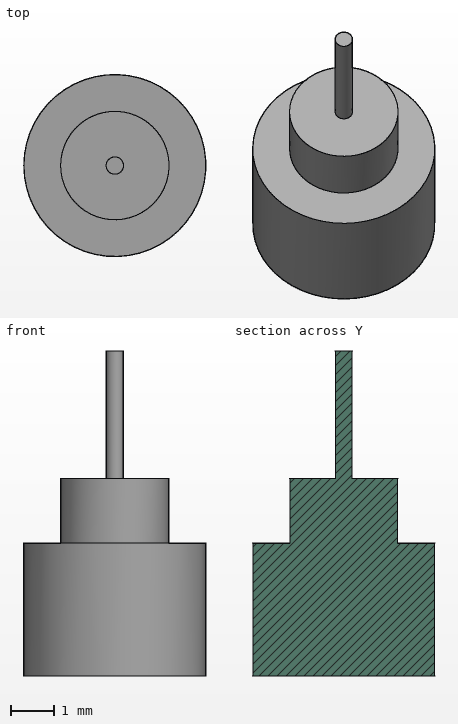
import cadquery as cq

body_diameter = 4.2
neck_diameter = 2.5
insulator_diameter = 1.95
pin_diameter = 0.4
body_height = 3.07
neck_height = 1.49
total_height = 7.5

body_radius = body_diameter / 2
neck_radius = neck_diameter / 2
insulator_radius = insulator_diameter / 2
pin_radius = pin_diameter / 2
neck_top = body_height + neck_height


def half_profile():
    """Half section on the -X side of the axis, from the base up to the pin tip.

    The extra point on the neck's top edge divides that flat end into the
    outer sleeve ring and the insulator disc around the pin.
    """
    return (
        cq.Workplane("XZ")
        .moveTo(0, 0)
        .lineTo(-body_radius, 0)
        .lineTo(-body_radius, body_height)
        .lineTo(-neck_radius, body_height)
        .lineTo(-neck_radius, neck_top)
        .lineTo(-insulator_radius, neck_top)
        .lineTo(-pin_radius, neck_top)
        .lineTo(-pin_radius, total_height)
        .lineTo(0, total_height)
        .close()
    )


result = half_profile().revolve(360, (0, 0, 0), (0, 1, 0), clean=False)